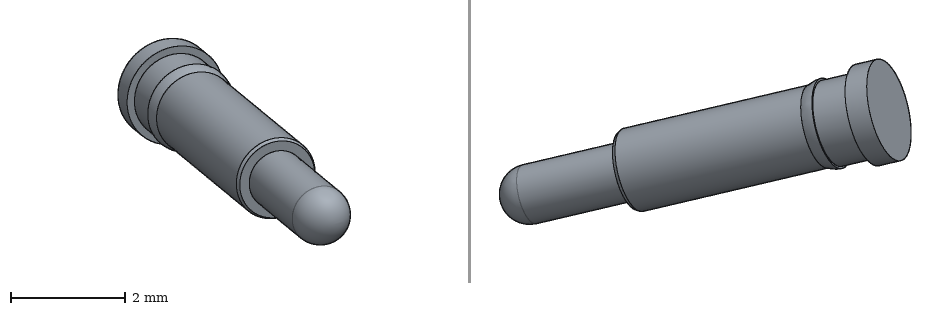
import cadquery as cq

total_length = 7.49

flange_diameter = 1.83
neck_diameter = 1.55
barb_diameter = 1.625
barrel_diameter = 1.5
plunger_diameter = 1.06

flange_end = 0.42
neck_end = 1.11
barb_end = 1.355
barrel_end = 5.02

bevel_length = 0.07
bevel_depth = 0.04

flange_radius = flange_diameter / 2
neck_radius = neck_diameter / 2
barb_radius = barb_diameter / 2
barrel_radius = barrel_diameter / 2
plunger_radius = plunger_diameter / 2

tip_start = total_length - plunger_radius

barb_length = barb_end - neck_end
barb_height = barb_radius - barrel_radius
barb_curve_radius = (barb_length**2 + barb_height**2) / (2 * barb_height)

profile = (
    cq.Workplane("XY")
    .moveTo(0, 0)
    .lineTo(0, flange_radius)
    .lineTo(flange_end, flange_radius)
    .lineTo(flange_end, neck_radius)
    .lineTo(neck_end, neck_radius)
    .lineTo(neck_end, barb_radius)
    .radiusArc((barb_end, barrel_radius), barb_curve_radius)
    .lineTo(barrel_end - bevel_length, barrel_radius)
    .lineTo(barrel_end, barrel_radius - bevel_depth)
    .lineTo(barrel_end, plunger_radius)
    .lineTo(tip_start, plunger_radius)
    .tangentArcPoint((total_length, 0), relative=False)
    .close()
)

result = profile.revolve(360, (0, 0, 0), (1, 0, 0))